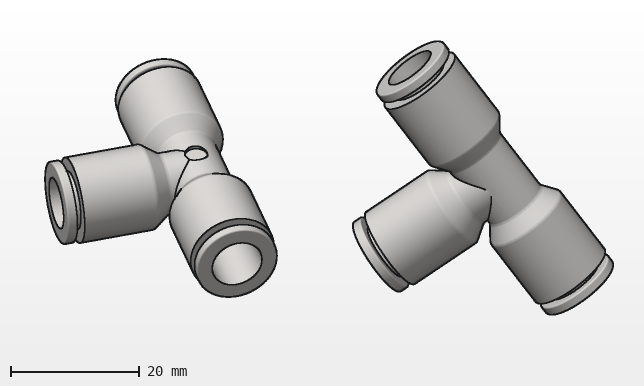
import cadquery as cq

arm_length = 22.6
bore_radius = 4.02

ring_radius = 6.5
ring_width = 1.6
ring_edge_round = 0.25
neck_radius = 4.6

sleeve_diameter = 13.5
sleeve_radius = sleeve_diameter / 2
sleeve_outer_end = 20.0
sleeve_inner_end = 8.15
cone_inner_end = 5.45
cone_edge_round = 0.8

run_radius = 4.93
branch_radius = 4.85

badge_radius = 1.75
badge_floor_height = 4.4

selection_margin = 0.45


def make_arm(core_radius):
    """Solid arm of revolution along +X, starting at the origin."""
    ring_inner_end = arm_length - ring_width
    body = (
        cq.Workplane("XY")
        .polyline([
            (0, 0),
            (0, core_radius),
            (cone_inner_end, core_radius),
            (sleeve_inner_end, sleeve_radius),
            (sleeve_outer_end, sleeve_radius),
            (sleeve_outer_end, 0),
        ])
        .close()
        .revolve(360, (0, 0, 0), (1, 0, 0))
    )
    selection_reach = sleeve_radius + selection_margin
    cone_edges = cq.selectors.BoxSelector(
        (cone_inner_end - selection_margin, -selection_reach, -selection_reach),
        (sleeve_inner_end + selection_margin, selection_reach, selection_reach),
        boundingbox=True,
    )
    body = body.edges(cone_edges).edges("%CIRCLE").fillet(cone_edge_round)
    neck = (
        cq.Workplane("YZ", origin=(sleeve_outer_end, 0, 0))
        .circle(neck_radius)
        .extrude(ring_inner_end - sleeve_outer_end)
    )
    ring = (
        cq.Workplane("YZ", origin=(ring_inner_end, 0, 0))
        .circle(ring_radius)
        .extrude(ring_width)
        .edges()
        .fillet(ring_edge_round)
    )
    return body.union(neck).union(ring)


def make_bore():
    """Cutter for one arm's bore, along +X from the origin."""
    return cq.Workplane("YZ").circle(bore_radius).extrude(arm_length)


def turn(shape, angle):
    """Turn a shape about the Z axis through the origin."""
    return shape.rotate((0, 0, 0), (0, 0, 1), angle)


right_angle, left_angle, branch_angle = 0, 180, -90

run_arm = make_arm(run_radius)
fitting = turn(run_arm, right_angle).union(turn(run_arm, left_angle))
fitting = fitting.union(turn(make_arm(branch_radius), branch_angle))

for angle in (right_angle, left_angle, branch_angle):
    fitting = fitting.cut(turn(make_bore(), angle))

badge_cutter = (
    cq.Workplane("XY", origin=(0, 0, badge_floor_height))
    .circle(badge_radius)
    .extrude(sleeve_radius - badge_floor_height)
)
result = fitting.cut(badge_cutter)